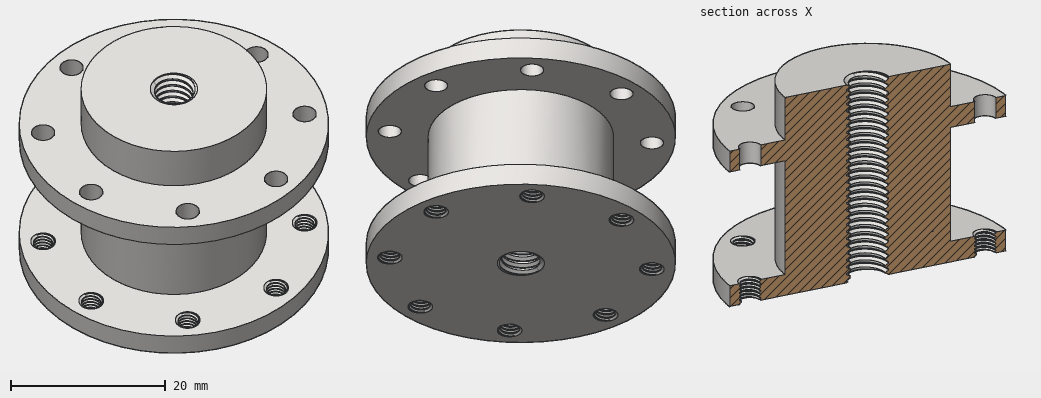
import cadquery as cq
import math

hub_diameter = 24.0
flange_diameter = 40.0
flange_thickness = 3.0
flange_gap = 16.0
nose_height = 6.0
upper_flange_base = flange_thickness + flange_gap
total_height = upper_flange_base + flange_thickness + nose_height

bolt_count = 8
bolt_circle_radius = 17.0
clearance_diameter = 3.0

bore_thread_diameter = 6.0
bore_thread_pitch = 1.0
bolt_thread_diameter = 3.0
bolt_thread_pitch = 0.5
bore_mouth_diameter = 6.1
bolt_mouth_diameter = 3.2

thread_depth_ratio = 1 / 2
root_flat_ratio = 1 / 8
groove_reach = 1.1
flank_angle = 30.0
flank_slope = math.tan(math.radians(flank_angle))


def disc(diameter, height, base=0.0):
    return cq.Workplane("XY").workplane(offset=base).circle(diameter / 2).extrude(height)


def mouth_cone(mouth_diameter, core_diameter):
    """120 degree countersink reaching down from z = 0, wide end up."""
    mouth_radius = mouth_diameter / 2
    core_radius = core_diameter / 2
    depth = (mouth_radius - core_radius) * flank_slope
    profile = (
        cq.Workplane("XZ")
        .lineTo(mouth_radius, 0)
        .lineTo(core_radius, -depth)
        .lineTo(0, -depth)
        .close()
    )
    return profile.revolve(360, (0, 0), (0, 1))


def thread_groove(diameter, pitch, length):
    """Helical V groove that overruns both ends of a hole from z = 0 to z = length."""
    root_radius = diameter / 2
    depth = pitch * thread_depth_ratio
    inner_radius = root_radius - depth * groove_reach
    half_root = pitch * root_flat_ratio / 2
    half_mouth = half_root + (root_radius - inner_radius) * flank_slope
    helix = cq.Wire.makeHelix(pitch, length + 2 * pitch, inner_radius)
    groove = (
        cq.Workplane("XZ")
        .moveTo(inner_radius, -half_mouth)
        .lineTo(root_radius, -half_root)
        .lineTo(root_radius, half_root)
        .lineTo(inner_radius, half_mouth)
        .close()
        .sweep(cq.Workplane(helix), isFrenet=True)
    )
    return groove.translate((0, 0, -pitch))


def cut_at(body, tools, centers):
    """Cut copies of the tools, which are modelled at the origin, at each (x, y) center."""
    copies = [tool.translate((x, y, 0)).val() for x, y in centers for tool in tools]
    return cq.Workplane(body.val().cut(*copies)).solids()


def half_turn(tool):
    return tool.rotate((0, 0, 0), (0, 0, 1), 180)


def cut_threaded_holes(body, diameter, pitch, length, mouth_diameter, centers):
    """Cut threaded through holes from z = 0 to z = length, countersunk at both ends."""
    core_diameter = diameter - 2 * pitch * thread_depth_ratio
    groove = half_turn(thread_groove(diameter, pitch, length))
    core = half_turn(disc(core_diameter, length))
    bottom_mouth = half_turn(mouth_cone(mouth_diameter, core_diameter).mirror("XY"))
    top_mouth = half_turn(mouth_cone(mouth_diameter, core_diameter).translate((0, 0, length)))
    body = cut_at(body, [groove], centers)
    body = cut_at(body, [core], centers)
    return cut_at(body, [bottom_mouth, top_mouth], centers)


def bolt_centers():
    angles = [2 * math.pi * i / bolt_count for i in range(bolt_count)]
    return [(bolt_circle_radius * math.cos(a), bolt_circle_radius * math.sin(a)) for a in angles]


def make_plain_spool():
    hub = disc(hub_diameter, total_height)
    lower_flange = disc(flange_diameter, flange_thickness)
    upper_flange = disc(flange_diameter, flange_thickness, upper_flange_base)
    return hub.union(lower_flange).union(upper_flange)


def cut_clearance_holes(body):
    hole = disc(clearance_diameter, flange_thickness, upper_flange_base)
    return cut_at(body, [hole], bolt_centers())


spool = cut_clearance_holes(make_plain_spool())
spool = cut_threaded_holes(
    spool, bore_thread_diameter, bore_thread_pitch, total_height, bore_mouth_diameter, [(0, 0)]
)
result = cut_threaded_holes(
    spool, bolt_thread_diameter, bolt_thread_pitch, flange_thickness, bolt_mouth_diameter, bolt_centers()
)